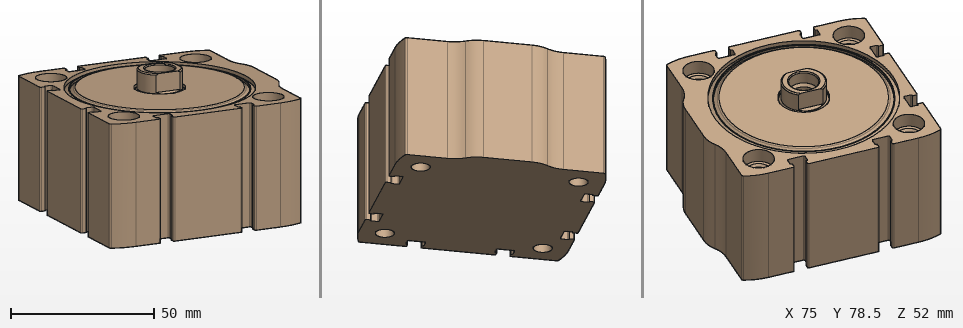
import cadquery as cq
import math

body_width = 75.0
half_width = body_width / 2
half_depth = 37.45
body_height = 45.0
overall_length = 78.5
bump_top = overall_length - half_depth
flank_half_length = 28.25
flank_radius = 23.55
flank_end_length = half_depth - flank_half_length
corner_half_width = half_width - flank_radius + math.sqrt(flank_radius**2 - flank_end_length**2)
corner_fillet = 0.8
bump_flat_half_width = 8.6
bump_radius = 11.0

bolt_offset = 28.25
bolt_diameter = 6.7
counterbore_diameter = 11.0
counterbore_depth = 5.1
countersink_diameter = 8.4

slot_offset = 15.9
slot_mouth_width = 5.0
slot_inner_width = 6.5
slot_depth = 5.0
slot_lip = 2.0
slot_fillet = 0.5
mouth_fillet = 0.5

groove_outer_radius = 67.0 / 2
ridge_outer_radius = 31.9
ridge_inner_radius = 63.0 / 2
ridge_drop = 0.55
ridge_slope_angle = 30.0
ridge_slope_height = (groove_outer_radius - ridge_outer_radius) * math.tan(math.radians(ridge_slope_angle))
valley_depth = 1.3
cover_shoulder_radius = 30.2
cover_shoulder_drop = 0.3
cover_flat_radius = 29.6

rod_diameter = 16.0
rod_radius = rod_diameter / 2
rod_projection = 7.0
rod_embedment = 20.0
rod_end_chamfer = 0.5
flat_half_spacing = 13.0 / 2
flat_base_rise = 0.2
runout_angle = 30.0
lip_groove_radius = 18.1 / 2
lip_base_radius = 8.8
lip_drop = 0.2
bore_mouth_diameter = 11.3
bore_diameter = 10.5
bore_depth = 4.7
drill_diameter = 8.55
drill_depth = 14.0
drill_point_angle = 118.0


def housing_outline():
    """Extruded outline: square with curved flank ends and a smooth bump on +Y."""
    mid_rise = (bump_top - half_depth) / 2
    bump_run = 2 * math.sqrt(bump_radius**2 - (bump_radius - mid_rise) ** 2)
    mid_x = bump_flat_half_width + bump_run / 2
    mid_y = half_depth + mid_rise
    shoulder_x = bump_flat_half_width + bump_run

    block = (
        cq.Workplane("XY")
        .moveTo(corner_half_width, -half_depth)
        .radiusArc((half_width, -flank_half_length), -flank_radius)
        .lineTo(half_width, flank_half_length)
        .radiusArc((corner_half_width, half_depth), -flank_radius)
        .lineTo(shoulder_x, half_depth)
        .radiusArc((mid_x, mid_y), bump_radius)
        .radiusArc((bump_flat_half_width, bump_top), -bump_radius)
        .lineTo(-bump_flat_half_width, bump_top)
        .radiusArc((-mid_x, mid_y), -bump_radius)
        .radiusArc((-shoulder_x, half_depth), bump_radius)
        .lineTo(-corner_half_width, half_depth)
        .radiusArc((-half_width, flank_half_length), -flank_radius)
        .lineTo(-half_width, -flank_half_length)
        .radiusArc((-corner_half_width, -half_depth), -flank_radius)
        .close()
        .extrude(body_height)
    )
    corner_points = [(x, y) for x in (-1, 1) for y in (-1, 1)]
    for x, y in corner_points:
        corner = cq.selectors.NearestToPointSelector(
            (x * corner_half_width, y * half_depth, body_height / 2)
        )
        block = block.edges(corner).fillet(corner_fillet)
    return block


def sensor_slot(angle, offset, face_distance):
    """T-slot cutter for one side face; angle turns it from the -Y face to another face."""
    half_mouth = slot_mouth_width / 2
    mouth = (
        cq.Workplane("XY")
        .moveTo(-half_mouth - mouth_fillet, 0)
        .radiusArc((-half_mouth, mouth_fillet), -mouth_fillet)
        .lineTo(-half_mouth, slot_depth)
        .lineTo(half_mouth, slot_depth)
        .lineTo(half_mouth, mouth_fillet)
        .radiusArc((half_mouth + mouth_fillet, 0), -mouth_fillet)
        .close()
        .extrude(body_height)
    )
    inner = (
        cq.Workplane("XY")
        .box(slot_inner_width, slot_depth - slot_lip, body_height, centered=(True, False, False))
        .edges("|Z")
        .fillet(slot_fillet)
        .translate((0, slot_lip, 0))
    )
    cutter = mouth.union(inner).translate((offset, -face_distance, 0))
    return cutter.rotate((0, 0, 0), (0, 0, 1), angle)


def revolved(profile):
    """Solid of revolution about Z from (radius, z) points."""
    return cq.Workplane("XZ").polyline(profile).close().revolve(360, (0, 0, 0), (0, 1, 0))


def bolt_hole():
    """Stepped through hole: counterbore, 45 degree countersink, bolt clearance."""
    floor = body_height - counterbore_depth
    countersink_depth = (countersink_diameter - bolt_diameter) / 2
    return revolved([
        (0, 0),
        (bolt_diameter / 2, 0),
        (bolt_diameter / 2, floor - countersink_depth),
        (countersink_diameter / 2, floor),
        (counterbore_diameter / 2, floor),
        (counterbore_diameter / 2, body_height),
        (0, body_height),
    ])


def cover_groove():
    """Ring groove with a ridge in it, around the flush round cover."""
    return revolved([
        (groove_outer_radius, body_height),
        (groove_outer_radius, body_height - ridge_drop - ridge_slope_height),
        (ridge_outer_radius, body_height - ridge_drop),
        (ridge_inner_radius, body_height - ridge_drop),
        (ridge_inner_radius, body_height - valley_depth),
        (cover_shoulder_radius, body_height - cover_shoulder_drop),
        (cover_flat_radius, body_height),
    ])


def rod_passage():
    """Blind hole for the rod; a 45 degree tapered lip inside a ring groove surrounds its mouth."""
    lip_base_z = body_height - lip_drop - (lip_base_radius - rod_radius)
    return revolved([
        (0, body_height - rod_embedment),
        (rod_radius, body_height - rod_embedment),
        (rod_radius, body_height - lip_drop),
        (lip_base_radius, lip_base_z),
        (lip_groove_radius, lip_base_z),
        (lip_groove_radius, body_height),
        (0, body_height),
    ])


def make_housing():
    housing = housing_outline()
    for angle, face_distance in ((-90, half_width), (0, half_depth), (90, half_width)):
        for offset in (-slot_offset, slot_offset):
            housing = housing.cut(sensor_slot(angle, offset, face_distance))
    for x in (-bolt_offset, bolt_offset):
        for y in (-bolt_offset, bolt_offset):
            housing = housing.cut(bolt_hole().translate((x, y, 0)))
    return housing.cut(cover_groove()).cut(rod_passage())


def rod_flat():
    """Cutter for the +X wrench flat, ending in a sloped run-out at its base."""
    base = body_height + flat_base_rise
    top = body_height + rod_projection
    runout_drop = (rod_radius - flat_half_spacing) * math.tan(math.radians(runout_angle))
    return (
        cq.Workplane("XZ")
        .polyline([
            (flat_half_spacing, base),
            (rod_radius, base - runout_drop),
            (rod_radius, top),
            (flat_half_spacing, top),
        ])
        .close()
        .extrude(rod_radius, both=True)
    )


def rod_bore():
    """Stepped blind bore with a chamfered mouth and a drill point."""
    top = body_height + rod_projection
    mouth_chamfer = (bore_mouth_diameter - bore_diameter) / 2
    step_chamfer = (bore_diameter - drill_diameter) / 2
    point_depth = drill_diameter / 2 / math.tan(math.radians(drill_point_angle / 2))
    return revolved([
        (0, top),
        (bore_mouth_diameter / 2, top),
        (bore_diameter / 2, top - mouth_chamfer),
        (bore_diameter / 2, top - bore_depth),
        (drill_diameter / 2, top - bore_depth - step_chamfer),
        (drill_diameter / 2, top - drill_depth),
        (0, top - drill_depth - point_depth),
    ])


def make_rod():
    rod = (
        cq.Workplane("XY", origin=(0, 0, body_height - rod_embedment))
        .circle(rod_radius)
        .extrude(rod_embedment + rod_projection)
        .faces(">Z")
        .chamfer(rod_end_chamfer)
    )
    for angle in (0, 180):
        rod = rod.cut(rod_flat().rotate((0, 0, 0), (0, 0, 1), angle))
    return rod.cut(rod_bore())


housing = make_housing()
rod = make_rod()
result = cq.Compound.makeCompound([housing.val(), rod.val()])